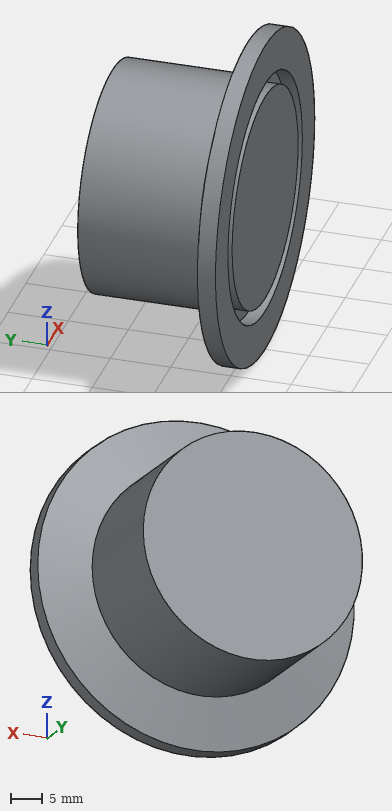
import cadquery as cq
import math

flange_diameter = 55.0
stub_diameter = 38.1
overall_length = 25.4
rim_thickness = 3.0
clamp_angle = 15.0

groove_outer_diameter = 41.2
groove_inner_diameter = 36.5
groove_depth = 2.5

flange_radius = flange_diameter / 2
stub_radius = stub_diameter / 2
cone_height = (flange_radius - stub_radius) * math.tan(math.radians(clamp_angle))
cone_end = rim_thickness + cone_height


def flange_and_stub():
    """Revolve the half profile of rim, clamping cone and stub about Y."""
    return (
        cq.Workplane("XY")
        .moveTo(0, 0)
        .lineTo(flange_radius, 0)
        .lineTo(flange_radius, rim_thickness)
        .lineTo(stub_radius, cone_end)
        .lineTo(stub_radius, overall_length)
        .lineTo(0, overall_length)
        .close()
        .revolve(360, (0, 0, 0), (0, 1, 0))
    )


def face_groove():
    """Ring cut into the sealing face, leaving a central disc flush with it."""
    return (
        cq.Workplane("XZ")
        .circle(groove_outer_diameter / 2)
        .circle(groove_inner_diameter / 2)
        .extrude(-groove_depth)
    )


result = flange_and_stub().cut(face_groove())